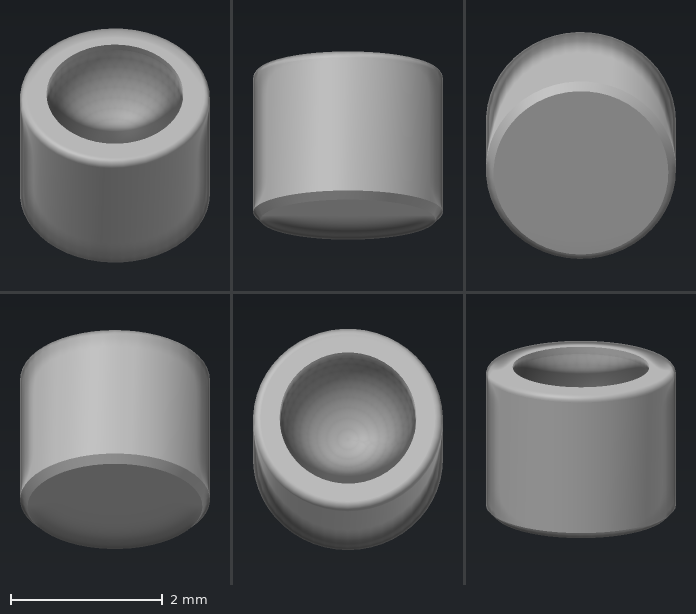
import cadquery as cq

outer_diameter = 2.5
height = 2.0
top_rounding = 0.1
bottom_chamfer = 0.1
socket_diameter = 1.8
socket_wall_depth = 0.1

socket_radius = socket_diameter / 2


def make_body():
    """Cylinder with a rounded top edge and a chamfered bottom edge."""
    body = cq.Workplane("XY").circle(outer_diameter / 2).extrude(height)
    body = body.faces(">Z").edges().fillet(top_rounding)
    return body.faces("<Z").edges().chamfer(bottom_chamfer)


def make_socket():
    """Short bore ending in a hemispherical floor."""
    wall_bottom = height - socket_wall_depth
    bore = cq.Workplane("XY").workplane(offset=wall_bottom).circle(socket_radius).extrude(socket_wall_depth)
    floor = cq.Workplane("XY").sphere(socket_radius, angle1=-90, angle2=0)
    return bore.union(floor.translate((0, 0, wall_bottom)))


result = make_body().cut(make_socket())